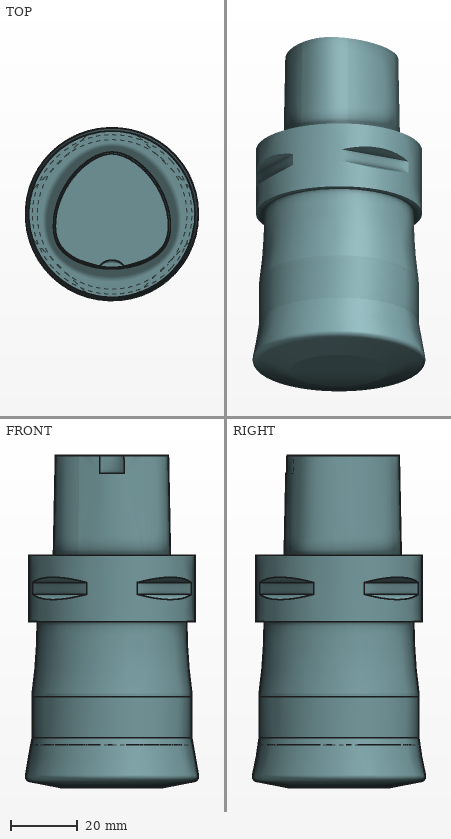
import cadquery as cq
import math

shank_height = 30.0
flange_bottom = -20.0
band_top = -41.6
band_bottom = -42.6
holder_bottom = -57.0
cutter_bottom = -70.0

shank_width_bottom = 35.2
shank_width_top = 34.0
shank_eccentricity = 1.12
lobe_count = 3
flat_half_angle = 24.5
spline_intervals = 8

notch_radius = 4.5
notch_centre_y = -18.3
notch_depth = 5.4

flange_radius = 50.0 / 2
groove_count = 4
groove_floor_distance = 22.2
groove_floor_height = 3.5
groove_flank_angle = 30.0
groove_z = flange_bottom / 2

neck_radius = 22.5
band_radius = 48.0 / 2
barrel_radius = 47.99 / 2

cutter_radius = 52.0 / 2
skirt_angle = 10.0
face_angle = 11.0
face_flat_radius = 14.6
nose_radius = 1.6


def shank_point(angle, width):
    """Point of the polygon where the outward normal is turned by angle from -Y."""
    support = width / 2 - shank_eccentricity * math.cos(lobe_count * angle)
    slope = lobe_count * shank_eccentricity * math.sin(lobe_count * angle)
    x = support * math.sin(angle) + slope * math.cos(angle)
    y = slope * math.sin(angle) - support * math.cos(angle)
    return x, y


def shank_outline(width, z):
    """Closed outline made of a flat stretch and a lobe for each side of the polygon."""
    pitch = 2 * math.pi / lobe_count
    half_flat = math.radians(flat_half_angle)
    edges = []
    for side in range(lobe_count):
        middle = side * pitch
        stretches = [
            (middle - half_flat, middle + half_flat),
            (middle + half_flat, middle + pitch - half_flat),
        ]
        for start, end in stretches:
            step = (end - start) / spline_intervals
            points = [
                cq.Vector(*shank_point(start + step * i, width), z)
                for i in range(spline_intervals + 1)
            ]
            edges.append(cq.Edge.makeSpline(points))
    return cq.Wire.assembleEdges(edges)


def make_shank():
    bottom_outline = shank_outline(shank_width_bottom, 0)
    top_outline = shank_outline(shank_width_top, shank_height)
    shank = cq.Workplane(cq.Solid.makeLoft([bottom_outline, top_outline], True))
    notch = (
        cq.Workplane("XY", origin=(0, notch_centre_y, shank_height))
        .circle(notch_radius)
        .extrude(-notch_depth)
    )
    return shank.cut(notch)


def make_holder_body():
    """Flange, neck with a hollow curve, band and barrel, turned about Z."""
    neck_length = flange_bottom - band_top
    neck_flare = band_radius - neck_radius
    curve_radius = (neck_length**2 + neck_flare**2) / (2 * neck_flare)
    half_turn = math.atan2(neck_flare, neck_length)
    neck_middle = (
        neck_radius + curve_radius * (1 - math.cos(half_turn)),
        flange_bottom - curve_radius * math.sin(half_turn),
    )
    return (
        cq.Workplane("XZ")
        .moveTo(0, 0)
        .lineTo(flange_radius, 0)
        .lineTo(flange_radius, flange_bottom)
        .lineTo(neck_radius, flange_bottom)
        .threePointArc(neck_middle, (band_radius, band_top))
        .lineTo(band_radius, band_bottom)
        .lineTo(barrel_radius, band_bottom)
        .lineTo(barrel_radius, holder_bottom)
        .lineTo(0, holder_bottom)
        .close()
        .revolve(360, (0, 0, 0), (0, 1, 0))
    )


def make_groove(direction):
    """Straight groove with sloping flanks, cut across the flange rim."""
    depth = flange_radius - groove_floor_distance
    half_floor = groove_floor_height / 2
    half_mouth = half_floor + depth * math.tan(math.radians(groove_flank_angle))
    return (
        cq.Workplane("XZ")
        .polyline([
            (groove_floor_distance, groove_z - half_floor),
            (flange_radius, groove_z - half_mouth),
            (flange_radius, groove_z + half_mouth),
            (groove_floor_distance, groove_z + half_floor),
        ])
        .close()
        .extrude(flange_radius, both=True)
        .rotate((0, 0, 0), (0, 0, 1), direction)
    )


def make_holder():
    holder = make_holder_body().union(make_shank())
    groove_pitch = 360 / groove_count
    for i in range(groove_count):
        holder = holder.cut(make_groove((i + 0.5) * groove_pitch))
    return holder


def make_cutter():
    """Flared skirt that takes the end of the holder in a recess, turned about Z."""
    skirt = math.radians(skirt_angle)
    face = math.radians(face_angle)

    nose_x = cutter_radius - nose_radius
    face_foot_x = nose_x + nose_radius * math.sin(face)
    face_foot_z = cutter_bottom + (face_foot_x - face_flat_radius) * math.tan(face)
    nose_z = face_foot_z + nose_radius * math.cos(face)

    skirt_foot_x = nose_x + nose_radius * math.cos(skirt)
    skirt_foot_z = nose_z + nose_radius * math.sin(skirt)
    skirt_top_z = skirt_foot_z + (skirt_foot_x - barrel_radius) / math.tan(skirt)
    return (
        cq.Workplane("XZ")
        .moveTo(0, holder_bottom)
        .lineTo(barrel_radius, holder_bottom)
        .lineTo(barrel_radius, skirt_top_z)
        .lineTo(skirt_foot_x, skirt_foot_z)
        .threePointArc((cutter_radius, nose_z), (face_foot_x, face_foot_z))
        .lineTo(face_flat_radius, cutter_bottom)
        .lineTo(0, cutter_bottom)
        .close()
        .revolve(360, (0, 0, 0), (0, 1, 0))
    )


holder = make_holder()
cutter = make_cutter()

result = cq.Compound.makeCompound([holder.solids().val(), cutter.val()])